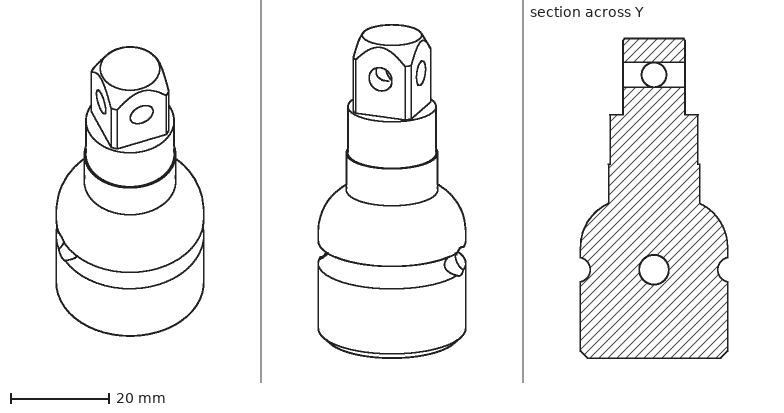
import cadquery as cq
import math

total_height = 65.0

body_radius = 15.0
base_chamfer = 1.5
dome_start_z = 22.5
dome_arc_radius = 10.0
dome_end_radius = 10.0

lower_neck_radius = 9.3
upper_neck_radius = 9.0
lower_neck_start_z = 31.45
neck_step_z = 39.45
neck_top_z = 49.5

groove_z = 18.0
groove_arc_radius = 2.5
groove_depth = 2.0
pin_hole_diameter = 6.0

drive_width = 12.7
drive_corner_radius = 8.3
tip_radius = 6.05
tip_cone_height = 3.9
drive_hole_diameter = 5.0
drive_hole_z = 57.6


def revolve_about_z(profile):
    """Turn a closed profile, drawn as (radius, height), around the Z axis."""
    return profile.close().revolve(360, (0, 0, 0), (0, 1, 0))


def cross_hole(plane, diameter, height):
    """Cylinder through the whole part, normal to the given vertical plane."""
    return (
        cq.Workplane(plane)
        .center(0, height)
        .circle(diameter / 2)
        .extrude(body_radius + 0.65, both=True)
    )


def make_body():
    """Chamfered base, dome, short cone and two-step neck."""
    dome_centre_radius = body_radius - dome_arc_radius
    end_angle = math.acos((dome_end_radius - dome_centre_radius) / dome_arc_radius)

    def dome_point(angle):
        return (
            dome_centre_radius + dome_arc_radius * math.cos(angle),
            dome_start_z + dome_arc_radius * math.sin(angle),
        )

    return revolve_about_z(
        cq.Workplane("XZ")
        .moveTo(0, 0)
        .lineTo(body_radius - base_chamfer, 0)
        .lineTo(body_radius, base_chamfer)
        .lineTo(body_radius, dome_start_z)
        .threePointArc(dome_point(end_angle / 2), dome_point(end_angle))
        .lineTo(lower_neck_radius, lower_neck_start_z)
        .lineTo(lower_neck_radius, neck_step_z)
        .lineTo(upper_neck_radius, neck_step_z)
        .lineTo(upper_neck_radius, neck_top_z)
        .lineTo(0, neck_top_z)
    )


def make_groove():
    """Ring of circular section whose inner side forms the groove."""
    section_centre_radius = body_radius - groove_depth + groove_arc_radius
    return cq.Workplane("XY").add(
        cq.Solid.makeTorus(section_centre_radius, groove_arc_radius, cq.Vector(0, 0, groove_z))
    )


def make_drive():
    """Square bar trimmed by a turned envelope with a conical tip."""
    drive_height = total_height - neck_top_z
    square_bar = (
        cq.Workplane("XY")
        .workplane(offset=neck_top_z)
        .rect(drive_width, drive_width)
        .extrude(drive_height)
    )
    envelope = revolve_about_z(
        cq.Workplane("XZ")
        .moveTo(0, neck_top_z)
        .lineTo(drive_corner_radius, neck_top_z)
        .lineTo(drive_corner_radius, total_height - tip_cone_height)
        .lineTo(tip_radius, total_height)
        .lineTo(0, total_height)
    )
    return square_bar.intersect(envelope)


result = make_body().union(make_drive()).cut(make_groove())
result = result.cut(cross_hole("XZ", pin_hole_diameter, groove_z))
for hole_plane in ("XZ", "YZ"):
    result = result.cut(cross_hole(hole_plane, drive_hole_diameter, drive_hole_z))